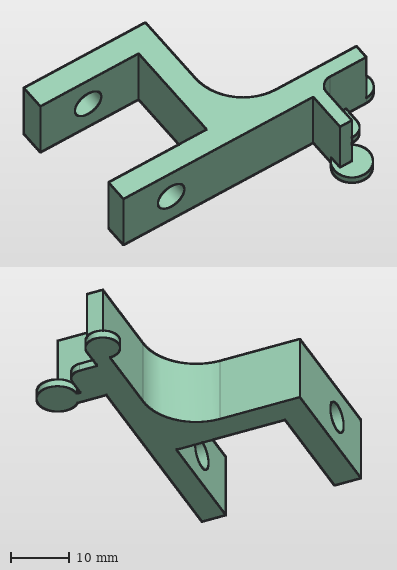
import cadquery as cq

total_width = 41.65
total_length = 55.1
height = 12.5

fork_width = 30.0
left_leg_thickness = 5.0
right_leg_thickness = 4.5
leg_length = 20.5
crossbar_back = 25.4
hole_diameter = 5.5
hole_distance = 10.0

neck_left = 24.95
neck_fillet = 10.0
arm_thickness = 3.0
branch_thickness = 2.5
branch_back = 42.1
corner_radius = 2.5

pad_thickness = 1.5
arm_pad_radius = 3.0
branch_pad_radius = 3.65
web_size = 5.8

arm_end = total_length - arm_pad_radius
arm_right = neck_left + arm_thickness
branch_end = total_width - branch_pad_radius


def make_body():
    """Extrude the fork, neck, arm and branch as one outline."""
    right_leg_inner = fork_width - right_leg_thickness
    branch_front = branch_back - branch_thickness
    outline = [
        (0, 0),
        (left_leg_thickness, 0),
        (left_leg_thickness, leg_length),
        (right_leg_inner, leg_length),
        (right_leg_inner, 0),
        (fork_width, 0),
        (fork_width, branch_front),
        (branch_end, branch_front),
        (branch_end, branch_back),
        (arm_right, branch_back),
        (arm_right, arm_end),
        (neck_left, arm_end),
        (neck_left, crossbar_back),
        (0, crossbar_back),
    ]
    body = cq.Workplane("XY").polyline(outline).close().extrude(height)
    body = fillet_upright_edge(body, neck_left, crossbar_back, neck_fillet)
    return fillet_upright_edge(body, arm_right, branch_back, corner_radius)


def fillet_upright_edge(solid, x, y, radius):
    """Round the vertical edge nearest to the given plan position."""
    nearest = cq.selectors.NearestToPointSelector((x, y, height / 2))
    return solid.edges("|Z").edges(nearest).fillet(radius)


def make_pad(x, y, radius):
    """Round pad resting on the bottom plane."""
    return cq.Workplane("XY").center(x, y).circle(radius).extrude(pad_thickness)


def make_web():
    """Thin square in the corner of arm and branch, rounded at its free corner."""
    web = (
        cq.Workplane("XY")
        .center(arm_right, branch_back)
        .rect(web_size, web_size, centered=False)
        .extrude(pad_thickness)
    )
    return fillet_upright_edge(web, arm_right + web_size, branch_back + web_size, corner_radius)


def make_leg_hole():
    """Cylinder along X that crosses both legs at mid height."""
    return (
        cq.Workplane("YZ")
        .center(hole_distance, height / 2)
        .circle(hole_diameter / 2)
        .extrude(fork_width)
    )


result = (
    make_body()
    .union(make_pad(neck_left, arm_end, arm_pad_radius))
    .union(make_pad(branch_end, branch_back, branch_pad_radius))
    .union(make_web())
    .cut(make_leg_hole())
)